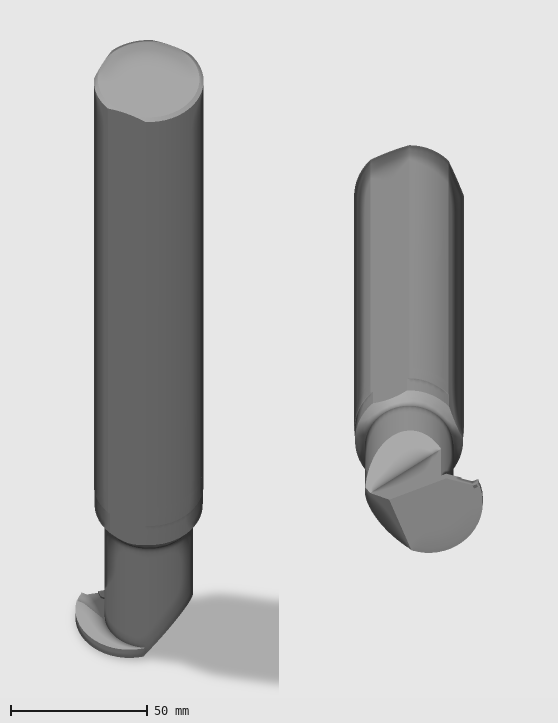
import cadquery as cq

TOTAL_HEIGHT = 301.0

SHANK_RADIUS = 20.2
FLAT_OFFSET = 18.7
JOINT_Z = 87.0
BEVEL_HEIGHT = 1.0
BEVEL_TOP_RADIUS = 18.7

COLLAR_STEP_Z = 77.0
COLLAR_RADIUS = 20.0
CONE_TOP_Z = 66.2
CONE_BOTTOM_Z = 60.2
NECK_RADIUS = 16.3

PLATE_BOTTOM_Z = 1.0
PLATE_TOP_Z = 5.5
PLATE_RADIUS = 20.0
PLATE_CENTER = (-7.5, -0.5)
RAKE_START = (-28.5, -2.7)
RAKE_END = (-17.2, 6.0)

RELIEF_BOTTOM_X = 5.5
RELIEF_TOP_Z = 20.0

GULLET_WALL_Y = 6.0
ROOF_AXIS_Z = 14.7
ROOF_SLOPE_X = -0.6
ROOF_SLOPE_Y = 1.2

POCKET_FLOOR_Z = 4.5
POCKET_ROOF_Z = 6.3
POCKET_OUTLINE = [
    (-28.5, 3.0), (-22.3, 3.0), (-20.0, 0.5), (-15.0, 0.5),
    (-13.2, -9.3), (-24.0, -5.0), (-28.5, -5.0),
]

INSERT_TIP_X = -27.5
INSERT_BACK_X = -24.0
INSERT_FRONT_Y = 0.0
INSERT_HEEL = (-26.8, -5.0)
NIB_LENGTH = 1.5

CUT_MARGIN = 30.0


def with_flats(body):
    """Trim a round bar to its flats on the -X, +Y and -Y sides."""
    right = SHANK_RADIUS + CUT_MARGIN
    envelope = (
        cq.Workplane("XY")
        .center((right - FLAT_OFFSET) / 2, 0)
        .rect(right + FLAT_OFFSET, 2 * FLAT_OFFSET)
        .extrude(TOTAL_HEIGHT)
    )
    return body.intersect(envelope)


def make_shank():
    profile = [
        (0, JOINT_Z),
        (SHANK_RADIUS, JOINT_Z),
        (SHANK_RADIUS, TOTAL_HEIGHT - BEVEL_HEIGHT),
        (BEVEL_TOP_RADIUS, TOTAL_HEIGHT),
        (0, TOTAL_HEIGHT),
    ]
    bar = cq.Workplane("XZ").polyline(profile).close().revolve(360, (0, 0), (0, 1))
    return with_flats(bar)


def make_head_blank():
    """Collar, cone and neck turned about the tool axis."""
    profile = [
        (0, PLATE_BOTTOM_Z),
        (NECK_RADIUS, PLATE_BOTTOM_Z),
        (NECK_RADIUS, CONE_BOTTOM_Z),
        (COLLAR_RADIUS, CONE_TOP_Z),
        (COLLAR_RADIUS, COLLAR_STEP_Z),
        (SHANK_RADIUS, COLLAR_STEP_Z),
        (SHANK_RADIUS, JOINT_Z),
        (0, JOINT_Z),
    ]
    blank = cq.Workplane("XZ").polyline(profile).close().revolve(360, (0, 0), (0, 1))
    return with_flats(blank)


def make_plate():
    """Eccentric disc, trimmed along the sloping edge beside the insert."""
    disc = (
        cq.Workplane("XY", origin=(*PLATE_CENTER, PLATE_BOTTOM_Z))
        .circle(PLATE_RADIUS)
        .extrude(PLATE_TOP_Z - PLATE_BOTTOM_Z)
    )
    trim = (
        cq.Workplane("XY")
        .polyline([RAKE_START, RAKE_END, (RAKE_END[0], CUT_MARGIN), (RAKE_START[0], CUT_MARGIN)])
        .close()
        .extrude(PLATE_TOP_Z)
    )
    return disc.cut(trim)


def make_side_relief():
    """Wedge that removes the lower +X side."""
    slope = (RELIEF_TOP_Z - PLATE_BOTTOM_Z) / (NECK_RADIUS - RELIEF_BOTTOM_X)
    far_x = NECK_RADIUS + CUT_MARGIN
    far_z = RELIEF_TOP_Z + slope * CUT_MARGIN
    return (
        cq.Workplane("XZ")
        .polyline([(RELIEF_BOTTOM_X, PLATE_BOTTOM_Z), (far_x, PLATE_BOTTOM_Z), (far_x, far_z)])
        .close()
        .extrude(CUT_MARGIN, both=True)
    )


def make_gullet():
    """Everything beyond the gullet wall and below the inclined roof."""
    block = (
        cq.Workplane("XZ", origin=(0, GULLET_WALL_Y, 0))
        .rect(2 * CUT_MARGIN, 2 * CONE_BOTTOM_Z)
        .extrude(-CUT_MARGIN)
    )
    roof_plane = cq.Plane(
        origin=(0, 0, ROOF_AXIS_Z),
        xDir=(1, 0, ROOF_SLOPE_X),
        normal=(-ROOF_SLOPE_X, -ROOF_SLOPE_Y, 1),
    )
    cover_size = 2 * TOTAL_HEIGHT
    above_roof = cq.Workplane(roof_plane).rect(cover_size, cover_size).extrude(TOTAL_HEIGHT)
    return block.cut(above_roof)


def make_chip_pocket():
    return (
        cq.Workplane("XY", origin=(0, 0, POCKET_FLOOR_Z))
        .polyline(POCKET_OUTLINE)
        .close()
        .extrude(POCKET_ROOF_Z - POCKET_FLOOR_Z)
    )


def make_insert():
    tip = (INSERT_TIP_X, INSERT_FRONT_Y)
    outline = [tip, (INSERT_BACK_X, INSERT_FRONT_Y), (INSERT_BACK_X, INSERT_HEEL[1]), INSERT_HEEL]
    block = (
        cq.Workplane("XY", origin=(0, 0, PLATE_BOTTOM_Z))
        .polyline(outline)
        .close()
        .extrude(POCKET_FLOOR_Z - PLATE_BOTTOM_Z)
    )
    nib = (
        cq.Workplane("YZ", origin=(INSERT_TIP_X + NIB_LENGTH / 2, 0, 0))
        .polyline([
            (INSERT_FRONT_Y, 0),
            (INSERT_FRONT_Y, PLATE_BOTTOM_Z),
            (INSERT_FRONT_Y - NIB_LENGTH, PLATE_BOTTOM_Z),
        ])
        .close()
        .extrude(NIB_LENGTH)
    )
    return block.union(nib)


def make_head(insert):
    return (
        make_head_blank()
        .union(make_plate())
        .cut(make_side_relief())
        .cut(make_gullet())
        .cut(make_chip_pocket())
        .cut(insert)
    )


shank = make_shank()
insert = make_insert()
head = make_head(insert)

result = cq.Compound.makeCompound([shank.solids().val(), head.solids().val(), insert.solids().val()])